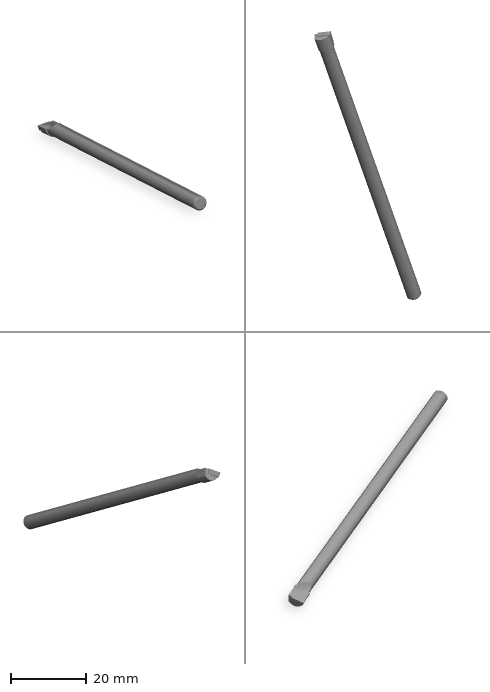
import cadquery as cq
import math

total_length = 90.0
shank_radius = 2.0
flat_height = 1.6
end_chamfer = 0.45

head_start = 0.4
head_end = 4.4
head_radius = 2.3
clearance_top = (-2.2, -0.9)
clearance_bottom = (-1.5, -1.8)

rake_angle = 11.0
edge_y = -2.6
edge_z = 0.045

flute_skew = 25.0
flute_radius = 2.2
runout_start = 4.7
runout_angle = 40.0
cut_size = 18.0

insert_length = 3.6
insert_width = 3.7
insert_thickness = 1.35
front_relief = 0.225
side_taper = 7.0


def rake_plane():
    """Plane of the rake face, with its origin at the cutting corner."""
    angle = math.radians(rake_angle)
    return cq.Plane(
        origin=(0, edge_y, edge_z),
        xDir=(1, 0, 0),
        normal=(0, -math.sin(angle), math.cos(angle)),
    )


def make_insert():
    """Four-sided insert that narrows below its rake face."""
    return (
        cq.Workplane(rake_plane())
        .polyline([
            (0, 0),
            (insert_length, front_relief),
            (insert_length, insert_width),
            (0, insert_width),
        ])
        .close()
        .extrude(-insert_thickness, taper=side_taper)
    )


def make_shank():
    """Round bar with a chamfered rear end and a flat along the top."""
    bar = (
        cq.Workplane("YZ", origin=(head_start, 0, 0))
        .circle(shank_radius)
        .extrude(total_length - head_start)
        .faces(">X")
        .chamfer(end_chamfer)
    )
    above_flat = cq.Workplane("XY", origin=(0, 0, flat_height)).rect(
        2 * total_length, cut_size).extrude(cut_size)
    return bar.cut(above_flat)


def make_head():
    """Enlarged round head, trimmed level with the back and top of the shank."""
    head = cq.Workplane("YZ", origin=(head_start, 0, 0)).circle(head_radius).extrude(head_end - head_start)
    trim = cq.Workplane("XY").box(
        cut_size, cut_size, cut_size, centered=(True, False, False)
    ).translate((0, shank_radius - cut_size, flat_height - cut_size))
    return head.intersect(trim)


def cut_clearance(body):
    """Slice a flat flank off the head below the cutting edge."""
    dy = clearance_bottom[0] - clearance_top[0]
    dz = clearance_bottom[1] - clearance_top[1]
    span = math.hypot(dy, dz)
    plane = cq.Plane(
        origin=(head_start, *clearance_top),
        xDir=(1, 0, 0),
        normal=(0, dz / span, -dy / span),
    )
    tool = cq.Workplane(plane).rect(2 * (head_end - head_start), 2 * span).extrude(head_radius)
    return body.cut(tool)


def cut_flute(body):
    """Remove material above the rake plane, ending in a skewed concave runout."""
    plane = rake_plane().rotated((0, 0, flute_skew))
    profile_plane = cq.Plane(origin=plane.origin, xDir=plane.xDir, normal=-plane.yDir)
    slope = math.radians(runout_angle)
    arc_middle = (
        runout_start + flute_radius * math.sin(slope / 2),
        flute_radius * (1 - math.cos(slope / 2)),
    )
    arc_end = (
        runout_start + flute_radius * math.sin(slope),
        flute_radius * (1 - math.cos(slope)),
    )
    ramp_end = (
        arc_end[0] + cut_size * math.cos(slope),
        arc_end[1] + cut_size * math.sin(slope),
    )
    tool = (
        cq.Workplane(profile_plane)
        .moveTo(-cut_size, 0)
        .lineTo(runout_start, 0)
        .threePointArc(arc_middle, arc_end)
        .lineTo(*ramp_end)
        .lineTo(-cut_size, ramp_end[1])
        .close()
        .extrude(cut_size, both=True)
    )
    return body.cut(tool)


insert = make_insert()
holder = cut_flute(cut_clearance(make_shank().union(make_head()))).cut(insert)

result = cq.Compound.makeCompound([holder.solids().val(), insert.val()])